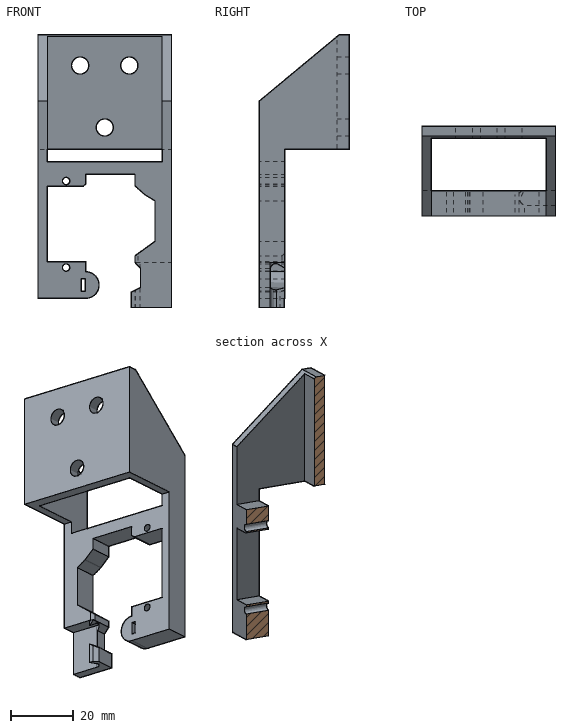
import cadquery as cq

width = 43.0
depth = 29.0
height = 88.0
wall = 3.0

frame_depth = 8.3
bracket_bottom = 51.0
plate_thickness = 4.0
flat_top = 3.3
slope_bottom = 66.6
opening_bottom = 47.1
bolt_diameter = 5.5
bolt_spacing = 15.8
upper_bolt_z = 78.1
lower_bolt_z = 58.1

arm_bottom = 3.0
arm_shoulder = 11.6
arm_top = 14.9
arm_step_x = 15.4
arm_radius = (arm_shoulder - arm_bottom) / 2
pin_diameter = 2.3
pin_x = 9.1
pin_heights = (12.9, 40.8)
slot_width = 1.2
slot_height = 4.0
slot_x = 14.6
slot_z = 7.3

notch_top = 42.9
ledge_bottom = 39.1
ledge_chamfer = 0.8

leg_x = 37.7
leg_cut_bottom = 21.4
leg_cut_top = 34.4
shoulder_top = 39.25
shoulder_bend = (34.5, 36.3)
hook_x = 30.0
hook_top = 5.0
hook_back = 8.1
hook_bevel = 1.3
throat_x = 33.0
throat_bottom = 6.5
throat_top = 12.7
tooth_x = 31.2
tooth_bottom = 14.6
tooth_top = 16.7
tooth_bevel = 1.0
web_thickness = 3.5
recess_reach = 1.5
recess_radius = 2.0
lip_width = 2.8


def make_side_body():
    """Full-width block with the stepped and sloped side outline."""
    outline = [
        (0, 0),
        (frame_depth, 0),
        (frame_depth, bracket_bottom),
        (depth, bracket_bottom),
        (depth, height),
        (depth - flat_top, height),
        (0, slope_bottom),
    ]
    return cq.Workplane("YZ").polyline(outline).close().extrude(width)


def make_bracket_opening():
    """Space between the side walls, in front of the back plate."""
    return cq.Workplane("XY").box(
        width - 2 * wall, depth - plate_thickness, height, centered=False
    ).translate((wall, 0, opening_bottom))


def make_frame_opening():
    """Lower opening, reaching out between the rounded arm and the hooked leg."""
    arm_middle = (arm_bottom + arm_shoulder) / 2
    return (
        cq.Workplane("XZ")
        .moveTo(0, 0)
        .lineTo(0, arm_bottom)
        .lineTo(arm_step_x, arm_bottom)
        .threePointArc((arm_step_x + arm_radius, arm_middle), (arm_step_x, arm_shoulder))
        .lineTo(arm_step_x, arm_top)
        .lineTo(wall, arm_top)
        .lineTo(wall, ledge_bottom)
        .lineTo(arm_step_x - ledge_chamfer, ledge_bottom)
        .lineTo(arm_step_x, ledge_bottom + ledge_chamfer)
        .lineTo(arm_step_x, notch_top)
        .lineTo(tooth_x, notch_top)
        .lineTo(tooth_x, shoulder_top)
        .lineTo(*shoulder_bend)
        .lineTo(leg_x, leg_cut_top)
        .lineTo(leg_x, leg_cut_bottom)
        .lineTo(tooth_x, tooth_top)
        .lineTo(tooth_x, tooth_bottom)
        .lineTo(throat_x, throat_top)
        .lineTo(throat_x, throat_bottom)
        .lineTo(hook_x, hook_top)
        .lineTo(hook_x, 0)
        .close()
        .extrude(-frame_depth)
    )


def make_holes(points, diameter):
    """Round holes along Y at the given (x, z) points."""
    return cq.Workplane("XZ").pushPoints(points).circle(diameter / 2).extrude(-depth)


def make_arm_slot():
    return cq.Workplane("XZ").center(slot_x, slot_z).rect(slot_width, slot_height).extrude(-frame_depth)


def make_rear_bevel(tip_x, bevel, back, bottom, top):
    """45 degree bevel on the rear vertical edge of a tip."""
    corner = [(tip_x, back - bevel), (tip_x + bevel, back), (tip_x, back)]
    return cq.Workplane("XY").workplane(offset=bottom).polyline(corner).close().extrude(top - bottom)


def make_rear_recess():
    """Round-nosed recess behind the hook, open to the rear and the right side."""
    nose_x = hook_x + recess_reach
    nose_y = web_thickness + recess_radius
    return (
        cq.Workplane("XY")
        .moveTo(width, web_thickness)
        .lineTo(nose_x + recess_radius, web_thickness)
        .radiusArc((nose_x, nose_y), recess_radius)
        .lineTo(hook_x + lip_width, hook_back)
        .lineTo(hook_x, hook_back)
        .lineTo(hook_x, frame_depth)
        .lineTo(width, frame_depth)
        .close()
        .extrude(tooth_bottom)
    )


bolt_points = [
    (width / 2 - bolt_spacing / 2, upper_bolt_z),
    (width / 2 + bolt_spacing / 2, upper_bolt_z),
    (width / 2, lower_bolt_z),
]
pin_points = [(pin_x, z) for z in pin_heights]

result = (
    make_side_body()
    .cut(make_bracket_opening())
    .cut(make_frame_opening())
    .cut(make_holes(bolt_points, bolt_diameter))
    .cut(make_holes(pin_points, pin_diameter))
    .cut(make_arm_slot())
    .cut(make_rear_recess())
    .cut(make_rear_bevel(hook_x, hook_bevel, hook_back, 0, tooth_bottom))
    .cut(make_rear_bevel(tooth_x, tooth_bevel, frame_depth, tooth_bottom, leg_cut_bottom))
)